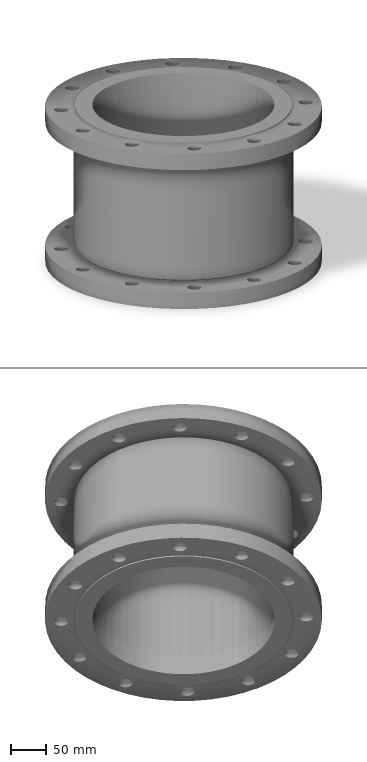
import cadquery as cq

flange_diameter = 395.0
overall_height = 240.0

flange_thickness = 25.0
raised_face_diameter = 310.0
raised_face_height = 2.0

body_diameter = 313.5
body_edge_radius = 2.95
neck_diameter = 263.5
neck_length = 2.55
bore_diameter = 260.0

bolt_count = 12
bolt_circle_diameter = 350.0
bolt_hole_diameter = 20.0

flange_outer_z = overall_height / 2 - raised_face_height
flange_inner_z = flange_outer_z - flange_thickness
body_end_z = flange_inner_z - neck_length


def disc(diameter, bottom_z, top_z):
    """Solid cylinder around Z between two heights."""
    return cq.Workplane("XY").workplane(offset=bottom_z).circle(diameter / 2).extrude(top_z - bottom_z)


def make_spool():
    """Body with rounded rims, and a neck at each end curving out to meet it."""
    body_radius = body_diameter / 2
    neck_radius = neck_diameter / 2
    profile = (
        cq.Workplane("XZ")
        .moveTo(body_radius, 0)
        .lineTo(body_radius, body_end_z - body_edge_radius)
        .radiusArc((body_radius - body_edge_radius, body_end_z), -body_edge_radius)
        .lineTo(neck_radius + neck_length, body_end_z)
        .radiusArc((neck_radius, flange_inner_z), neck_length)
        .lineTo(0, flange_inner_z)
        .mirrorX()
    )
    return profile.revolve(360, (0, 0, 0), (0, 1, 0))


def make_flange():
    """Upper flange with its raised face, before drilling."""
    plate = disc(flange_diameter, flange_inner_z, flange_outer_z)
    raised_face = disc(raised_face_diameter, flange_outer_z, overall_height / 2)
    return plate.union(raised_face)


def make_bolt_holes():
    """Ring of cylinders passing through both flanges."""
    half_pitch = 180 / bolt_count
    return (
        cq.Workplane("XY")
        .workplane(offset=-overall_height / 2)
        .polarArray(bolt_circle_diameter / 2, half_pitch, 360, bolt_count)
        .circle(bolt_hole_diameter / 2)
        .extrude(overall_height)
    )


upper_flange = make_flange()
lower_flange = upper_flange.mirror("XY")
bore = disc(bore_diameter, -overall_height / 2, overall_height / 2)

result = make_spool().union(upper_flange).union(lower_flange).cut(bore).cut(make_bolt_holes())